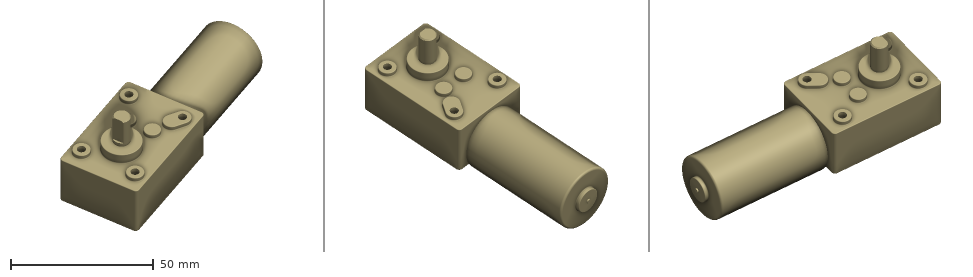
import cadquery as cq
import math

overall_length = 94.2
overall_height = 42.6

box_width = 32.0
box_length = 46.45
box_height = 19.8
box_corner_radius = 1.5
box_edge_radius = 0.3
shaft_to_front = 16.0
box_front = -shaft_to_front
box_back = box_front + box_length

shaft_top = box_height + 16.1
shaft_radius = 3.2
shaft_chamfer = 0.5
flat_offset = 2.4
flat_bottom = box_height + 5.7

boss_height = 1.7
boss_edge_radius = 0.3
collar_radius = 7.4
collar_height = 4.05
pin_boss_radius = 3.1
pin_x = 5.1
pin_y = box_front + 28.55
screw_boss_radius = 3.3
screw_x = 11.0
screw_front_y = box_front + 7.0
screw_back_y = box_front + 39.3
long_boss_radius = 3.2
long_boss_run_x = -2.4
long_boss_run_y = -3.6

screw_hole_radius = 1.6
screw_hole_depth = 2 * boss_height

motor_top_drop = 1.7
motor_top = box_height - motor_top_drop
motor_bottom = shaft_top - overall_height
motor_radius = (motor_top - motor_bottom) / 2
motor_axis_z = motor_bottom + motor_radius
motor_rear_radius = 0.85
motor_front_radius = 0.5
bearing_radius = 4.8
bearing_length = 1.6
bearing_edge_radius = 0.3
tip_radius = 0.85
tip_length = 0.6
bearing_end = box_front + overall_length - tip_length
motor_end = bearing_end - bearing_length

plain_screws = [
    (-screw_x, screw_front_y),
    (screw_x, screw_front_y),
    (-screw_x, screw_back_y),
]
long_boss_screw = (screw_x, screw_back_y)


def make_housing():
    housing = (
        cq.Workplane("XY")
        .center(0, (box_front + box_back) / 2)
        .rect(box_width, box_length)
        .extrude(box_height)
    )
    housing = housing.edges("|Z").fillet(box_corner_radius)
    return housing.faces("<Z or >Z").edges().fillet(box_edge_radius)


def on_cover():
    return cq.Workplane("XY").workplane(offset=box_height)


def round_boss(x, y, radius, height):
    boss = on_cover().center(x, y).circle(radius).extrude(height)
    return boss.faces(">Z").edges().fillet(boss_edge_radius)


def long_boss():
    """Slot-shaped boss running from the screw toward the middle of the cover."""
    screw_hole_x, screw_hole_y = long_boss_screw
    run = math.hypot(long_boss_run_x, long_boss_run_y)
    angle = math.degrees(math.atan2(long_boss_run_y, long_boss_run_x))
    boss = (
        on_cover()
        .center(screw_hole_x + long_boss_run_x / 2, screw_hole_y + long_boss_run_y / 2)
        .slot2D(run + 2 * long_boss_radius, 2 * long_boss_radius, angle)
        .extrude(boss_height)
    )
    return boss.faces(">Z").edges().fillet(boss_edge_radius)


def add_bosses(body):
    body = body.union(round_boss(0, 0, collar_radius, collar_height))
    for x in (-pin_x, pin_x):
        body = body.union(round_boss(x, pin_y, pin_boss_radius, boss_height))
    for x, y in plain_screws:
        body = body.union(round_boss(x, y, screw_boss_radius, boss_height))
    body = body.union(long_boss())

    inset = 2 * box_edge_radius
    feet = cq.selectors.BoxSelector(
        (-box_width / 2 + inset, box_front + inset, box_height - boss_edge_radius / 2),
        (box_width / 2 - inset, box_back - inset, box_height + boss_edge_radius / 2),
    )
    return body.edges(feet).fillet(boss_edge_radius)


def make_screw_holes():
    return (
        on_cover()
        .workplane(offset=boss_height)
        .pushPoints(plain_screws + [long_boss_screw])
        .circle(screw_hole_radius)
        .extrude(-screw_hole_depth)
    )


def make_shaft():
    shaft = on_cover().circle(shaft_radius).extrude(shaft_top - box_height)
    shaft = shaft.faces(">Z").chamfer(shaft_chamfer)
    flat_cut = (
        cq.Workplane("XY")
        .workplane(offset=flat_bottom)
        .center(0, -flat_offset - shaft_radius / 2)
        .rect(2 * shaft_radius, shaft_radius)
        .extrude(shaft_top - flat_bottom)
    )
    return shaft.cut(flat_cut)


def motor_cylinder(radius, start_y, end_y):
    """Cylinder on the motor axis between two Y positions."""
    base = cq.Plane(origin=(0, start_y, motor_axis_z), xDir=(1, 0, 0), normal=(0, 1, 0))
    return cq.Workplane(base).circle(radius).extrude(end_y - start_y)


def make_motor():
    can = motor_cylinder(motor_radius, box_back, motor_end)
    can = can.faces("<Y").edges().fillet(motor_front_radius)

    seat = motor_cylinder(motor_radius, box_back, box_back + 2 * motor_front_radius)
    seat_region = (
        cq.Workplane("XY")
        .center(0, box_back)
        .rect(box_width, box_length)
        .extrude(box_height)
    )
    can = can.union(seat.intersect(seat_region))

    bearing = motor_cylinder(bearing_radius, motor_end, bearing_end)
    bearing = bearing.faces(">Y").edges().fillet(bearing_edge_radius)
    motor = can.faces(">Y").edges().fillet(motor_rear_radius).union(bearing)

    rear_face_edges = cq.selectors.BoxSelector(
        (-motor_radius, motor_end - bearing_edge_radius / 2, motor_bottom),
        (motor_radius, motor_end + bearing_edge_radius / 2, motor_top),
    )
    foot = motor.edges(rear_face_edges).edges(cq.selectors.RadiusNthSelector(0))
    motor = foot.fillet(bearing_edge_radius)
    return motor.union(motor_cylinder(tip_radius, bearing_end, bearing_end + tip_length))


result = (
    add_bosses(make_housing())
    .union(make_shaft())
    .union(make_motor())
    .cut(make_screw_holes())
)